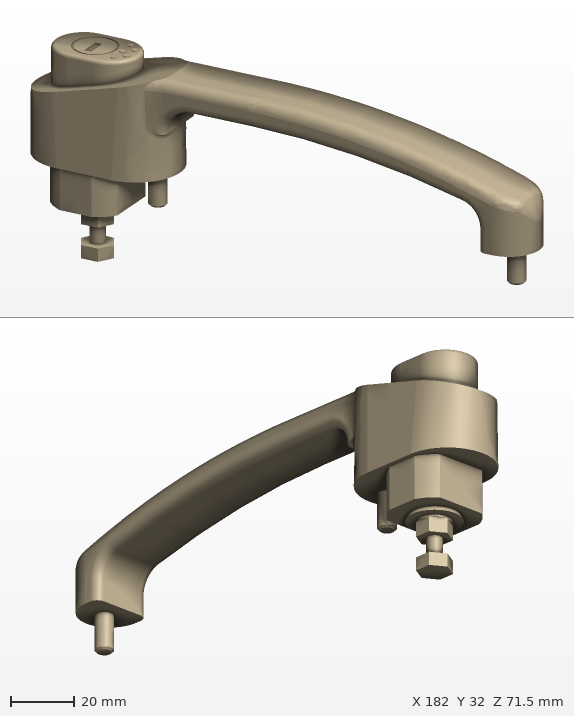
import cadquery as cq
import math

HOUSING_LENGTH = 51.9
HOUSING_BASE_WIDTH = 32.0
HOUSING_LOFT_HEIGHT = 36.4
HOUSING_LOFT_WIDTH = 28.4
HOUSING_CENTER_X = HOUSING_LENGTH / 2
SLOPE_START_Z = 21.5

TOTAL_LENGTH = 182.0
GRIP_WIDTH = 21.8
GRIP_TOP_Z = 35.1
GRIP_BOTTOM_Z = 25.3
GRIP_CROWN = 0.5
CROWN_RADIUS = (GRIP_WIDTH / 2) ** 2 / (2 * GRIP_CROWN)
GRIP_START_X = 41.0
ARCH_START_X = 82.5
ARCH_TOP_RADIUS = 282.1
ARCH_BOTTOM_RADIUS = 309.4
ARCH_ANGLE = 25.0
PROFILE_ALLOWANCE = 1.8
TOP_EDGE_RADIUS = 3.6
BOTTOM_EDGE_RADIUS = 3.0
ROOT_FILLET = 9.1
ROOT_Z = 19.0
FLARE_X = 42.8
FLARE_WIDTH = 26.2
FLARE_CLEARANCE = 1.8

TIP_CENTER_X = TOTAL_LENGTH - GRIP_WIDTH / 2
LEG_INNER_X = 165.6
LEG_FILLET = 8.2
NOSE_START_X = 172.0
NOSE_END_Z = 10.0

LOCK_X = 22.0
BUTTON_LENGTH = 30.5
BUTTON_WIDTH = 20.7
BUTTON_TOP_Z = 37.1
BUTTON_EDGE_RADIUS = 1.3

KEY_OFFSET_X = -1.0
KEY_X = LOCK_X + KEY_OFFSET_X
KEY_RING_DIAMETER = 15.3
KEY_RING_WIDTH = 0.7
KEY_RING_DEPTH = 0.4
KEYWAY_WIDTH = 2.5
KEYWAY_LENGTH = 7.3
KEYWAY_Y = -1.3
KEYWAY_DEPTH = 0.5

DOT_DIAMETER = 2.2
DOT_HEIGHT = 0.4
DOT_PITCH = 5.5
DOT_COLUMN_X = 31.0
DOT_COLUMN_SPACING = 3.1
DOT_ROOT_DEPTH = 0.4

GUIDE_X_SIZE = 24.4
GUIDE_Y_SIZE = 28.2
GUIDE_CORNER_DIAMETER = 30.4
GUIDE_DEPTH = 15.0
FLANGE_TOP_DIAMETER = 16.7
FLANGE_DIAMETER = 18.5
FLANGE_THICKNESS = 1.6
COLLAR_DIAMETER = 11.3
COLLAR_THICKNESS = 0.7

HEX_CORNERS = 12.0
SHANK_DIAMETER = 5.3
NUT_THICKNESS = 5.1
HEAD_TOP_Z = -29.5
HEAD_BOTTOM_Z = -34.0

PIN_DIAMETER = 6.2
PIN_LENGTH = 12.5
PIN_CHAMFER = 0.7
PIN_X_PLACES = (43.9, 173.8)

FLANGE_BOTTOM_Z = -GUIDE_DEPTH - FLANGE_THICKNESS
NUT_TOP_Z = FLANGE_BOTTOM_Z - COLLAR_THICKNESS
NUT_BOTTOM_Z = NUT_TOP_Z - NUT_THICKNESS


def drop(radius, distance):
    """Fall of an arc below its level start, at a horizontal distance from it."""
    return radius - math.sqrt(radius ** 2 - distance ** 2)


def below_slope(end_x):
    """Space under the sloping plane of the housing, level with the grip beyond the housing."""
    outline = [
        (0, 0),
        (end_x, 0),
        (end_x, GRIP_TOP_Z),
        (HOUSING_LENGTH, GRIP_TOP_Z),
        (0, SLOPE_START_Z),
    ]
    return cq.Workplane("XZ").polyline(outline).close().extrude(HOUSING_BASE_WIDTH, both=True)


def build_housing():
    """Oblong block whose long sides lean inward, cut off by the sloping plane."""
    block = (
        cq.Workplane("XY")
        .center(HOUSING_CENTER_X, 0)
        .slot2D(HOUSING_LENGTH, HOUSING_BASE_WIDTH)
        .workplane(offset=HOUSING_LOFT_HEIGHT)
        .slot2D(HOUSING_LENGTH, HOUSING_LOFT_WIDTH)
        .loft(ruled=True)
    )
    return block.intersect(below_slope(TOTAL_LENGTH))


def build_grip_outline():
    """Grip seen from above: flared at the housing, round at the tip."""
    half = GRIP_WIDTH / 2
    flare = FLARE_WIDTH / 2
    tip_arc_middle = (TIP_CENTER_X + half * math.cos(math.pi / 4), half * math.sin(math.pi / 4))
    return (
        cq.Workplane("XY")
        .moveTo(TOTAL_LENGTH, 0)
        .threePointArc(tip_arc_middle, (TIP_CENTER_X, half))
        .lineTo(HOUSING_LENGTH, half)
        .tangentArcPoint((FLARE_X, flare), relative=False)
        .lineTo(GRIP_START_X, flare)
        .lineTo(GRIP_START_X, 0)
        .mirrorX()
        .extrude(2 * GRIP_TOP_Z)
    )


def build_grip_profile():
    """Side profile of the neck, arch, nose and leg, kept above the crowned top face."""
    high_z = GRIP_TOP_Z + PROFILE_ALLOWANCE
    high_radius = ARCH_TOP_RADIUS + PROFILE_ALLOWANCE
    top_mid_x = (ARCH_START_X + NOSE_START_X) / 2
    bottom_mid_x = (ARCH_START_X + LEG_INNER_X) / 2

    def high_point(x):
        return x, high_z - drop(high_radius, x - ARCH_START_X)

    def low_point(x):
        return x, GRIP_BOTTOM_Z - drop(ARCH_BOTTOM_RADIUS, x - ARCH_START_X)

    profile = (
        cq.Workplane("XZ")
        .moveTo(GRIP_START_X, high_z)
        .lineTo(ARCH_START_X, high_z)
        .threePointArc(high_point(top_mid_x), high_point(NOSE_START_X))
        .tangentArcPoint((TOTAL_LENGTH, NOSE_END_Z), relative=False)
        .lineTo(TOTAL_LENGTH, 0)
        .lineTo(LEG_INNER_X, 0)
        .lineTo(*low_point(LEG_INNER_X))
        .threePointArc(low_point(bottom_mid_x), (ARCH_START_X, GRIP_BOTTOM_Z))
        .lineTo(HOUSING_LENGTH + ROOT_FILLET, GRIP_BOTTOM_Z)
        .tangentArcPoint((HOUSING_LENGTH, GRIP_BOTTOM_Z - ROOT_FILLET), relative=False)
        .lineTo(GRIP_START_X, ROOT_Z)
        .close()
        .extrude(HOUSING_BASE_WIDTH, both=True)
    )
    leg_corner_z = low_point(LEG_INNER_X)[1]
    corner = cq.selectors.NearestToPointSelector((LEG_INNER_X, 0, leg_corner_z))
    return profile.edges(corner).fillet(LEG_FILLET)


def build_crown():
    """Space under the crowned top face: straight over the neck, turned along the arch."""
    half = HOUSING_BASE_WIDTH / 2
    edge_z = GRIP_TOP_Z - drop(CROWN_RADIUS, half)

    def section():
        return (
            cq.Workplane("YZ", origin=(ARCH_START_X, 0, 0))
            .moveTo(-half, -GRIP_TOP_Z)
            .lineTo(-half, edge_z)
            .threePointArc((0, GRIP_TOP_Z), (half, edge_z))
            .lineTo(half, -GRIP_TOP_Z)
            .close()
        )

    neck = section().extrude(GRIP_START_X - ARCH_START_X)
    arch_axis_z = GRIP_TOP_Z - ARCH_TOP_RADIUS
    arch = section().revolve(ARCH_ANGLE, (0, arch_axis_z, 0), (1, arch_axis_z, 0))
    return neck.union(arch)


def is_side_edge(edge):
    """True for the edges that run along the grip or around its tip, not across it."""
    place = edge.Center()
    crosses = abs(place.y) < GRIP_WIDTH / 4 and place.x < TIP_CENTER_X
    return place.x > FLARE_X + FLARE_CLEARANCE and not crosses


def is_top_edge(edge):
    """True above the middle of the bar, which follows the arch."""
    place = edge.Center()
    middle_z = (GRIP_TOP_Z + GRIP_BOTTOM_Z) / 2
    return place.z > middle_z - drop(ARCH_TOP_RADIUS, max(0, place.x - ARCH_START_X))


def is_bottom_edge(edge):
    """True for the lower edges of the bar and for the inner corners of the leg."""
    place = edge.Center()
    before_tip = place.z > 0 and place.x <= LEG_INNER_X
    return before_tip and not is_top_edge(edge) and edge.geomType() in ("LINE", "CIRCLE")


def build_grip():
    """Arched bar with rounded edges, trimmed by the slope where it enters the housing."""
    blank = build_grip_profile().intersect(build_grip_outline()).intersect(build_crown())
    rounded = blank.edges().filter(is_side_edge).filter(is_top_edge).fillet(TOP_EDGE_RADIUS)
    rounded = rounded.edges().filter(is_side_edge).filter(is_bottom_edge).fillet(BOTTOM_EDGE_RADIUS)
    return rounded.intersect(below_slope(TOTAL_LENGTH))


def build_button_prism(height):
    """Oblong prism from the mounting face up to a height."""
    return cq.Workplane("XY").center(LOCK_X, 0).slot2D(BUTTON_LENGTH, BUTTON_WIDTH).extrude(height)


def build_handle():
    """Housing and grip in one piece, with a through opening for the button."""
    return build_housing().union(build_grip()).cut(build_button_prism(HOUSING_LOFT_HEIGHT))


def build_button():
    """Push button with an engraved key ring, a keyway and five raised dots."""
    button = build_button_prism(BUTTON_TOP_Z).faces(">Z").edges().fillet(BUTTON_EDGE_RADIUS)
    face = cq.Workplane("XY", origin=(0, 0, BUTTON_TOP_Z))
    ring = (
        face.center(KEY_X, 0)
        .circle(KEY_RING_DIAMETER / 2)
        .circle(KEY_RING_DIAMETER / 2 - KEY_RING_WIDTH)
        .extrude(-KEY_RING_DEPTH)
    )
    keyway = face.center(KEY_X, KEYWAY_Y).rect(KEYWAY_WIDTH, KEYWAY_LENGTH).extrude(-KEYWAY_DEPTH)
    outer_x = DOT_COLUMN_X + DOT_COLUMN_SPACING
    dot_places = [(DOT_COLUMN_X, row * DOT_PITCH) for row in (-1, 0, 1)]
    dot_places += [(outer_x, side * DOT_PITCH / 2) for side in (-1, 1)]
    dots = (
        face.workplane(offset=-DOT_ROOT_DEPTH)
        .pushPoints(dot_places)
        .circle(DOT_DIAMETER / 2)
        .extrude(DOT_ROOT_DEPTH + DOT_HEIGHT)
    )
    return button.cut(ring).cut(keyway).union(dots)


def build_guide():
    """Guide block below the housing, with a tapered flange and a collar under it."""
    block = cq.Workplane("XY").center(LOCK_X, 0).rect(GUIDE_X_SIZE, GUIDE_Y_SIZE).extrude(-GUIDE_DEPTH)
    corners = cq.Workplane("XY").center(LOCK_X, 0).circle(GUIDE_CORNER_DIAMETER / 2).extrude(-GUIDE_DEPTH)
    flange = (
        cq.Workplane("XY", origin=(LOCK_X, 0, -GUIDE_DEPTH))
        .circle(FLANGE_TOP_DIAMETER / 2)
        .workplane(offset=-FLANGE_THICKNESS)
        .circle(FLANGE_DIAMETER / 2)
        .loft()
    )
    collar = (
        cq.Workplane("XY", origin=(LOCK_X, 0, FLANGE_BOTTOM_Z))
        .circle(COLLAR_DIAMETER / 2)
        .extrude(-COLLAR_THICKNESS)
    )
    return block.intersect(corners).union(flange).union(collar)


def hex_prism(top_z, bottom_z):
    """Hexagon on the lock axis, with two corners along X."""
    return cq.Workplane("XY", origin=(LOCK_X, 0, top_z)).polygon(6, HEX_CORNERS).extrude(bottom_z - top_z)


def build_shank():
    return (
        cq.Workplane("XY", origin=(LOCK_X, 0, NUT_TOP_Z))
        .circle(SHANK_DIAMETER / 2)
        .extrude(HEAD_TOP_Z - NUT_TOP_Z)
    )


def build_nut():
    return hex_prism(NUT_TOP_Z, NUT_BOTTOM_Z).cut(build_shank())


def build_bolt():
    """Headed screw whose shank passes up through the nut to the guide collar."""
    return hex_prism(HEAD_TOP_Z, HEAD_BOTTOM_Z).union(build_shank())


def build_pin(x):
    return (
        cq.Workplane("XY", origin=(x, 0, 0))
        .circle(PIN_DIAMETER / 2)
        .extrude(-PIN_LENGTH)
        .faces("<Z")
        .chamfer(PIN_CHAMFER)
    )


handle = build_handle()
button = build_button()
guide = build_guide()
nut = build_nut()
bolt = build_bolt()
pins = [build_pin(x).val() for x in PIN_X_PLACES]

result = cq.Compound.makeCompound(
    [handle.val(), button.val(), guide.val(), nut.val(), bolt.val(), *pins]
)